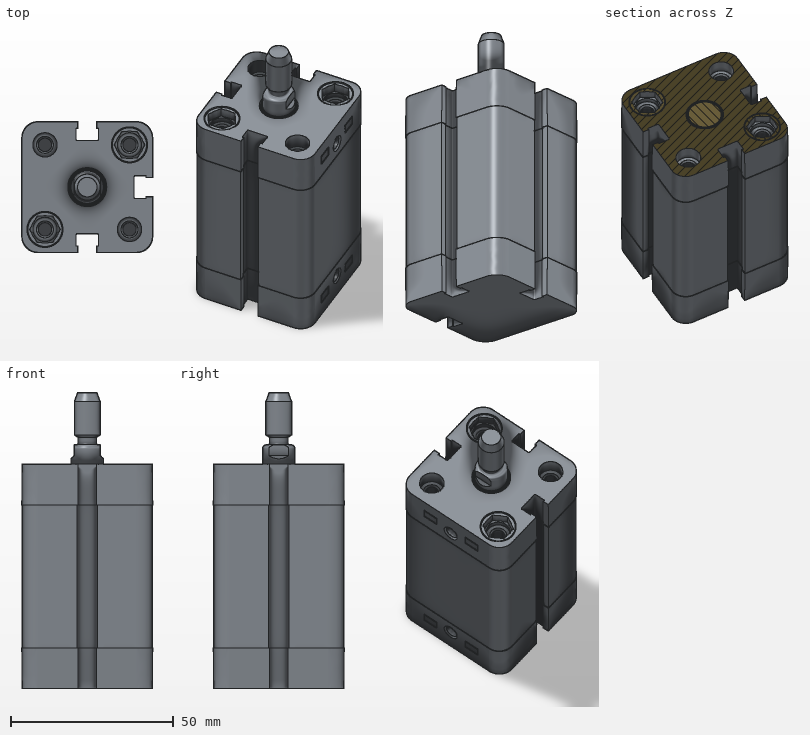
import cadquery as cq
import math

barrel_width = 40.0
cap_joint_width = 40.3
cap_draft = 0.5
corner_radius = 5.0
body_height = 69.0
cap_height = 12.5
total_height = 91.0

barrel_height = body_height - 2 * cap_height
head_cap_base = body_height - cap_height

slot_floor = 14.4
slot_lip = 18.05
slot_mouth_width = 5.8
slot_inner_width = 6.9
slot_corner_radius = 0.3
barrel_slot_clearance = 0.2
slot_angles = (0, 90, 270)

corner_offset = 13.0
thread_hole_dia = 4.13
thread_chamfer_dia = 5.2
counterbore_dia = 7.5
counterbore_depth = 4.7
corner_thread_depth = 6.0
nut_seat_dia = 11.1
nut_seat_depth = 3.2
nut_dia = 10.9
nut_top_dia = 10.48
nut_recess = 0.25
nut_hex_width = 8.2
nut_bore_dia = 8.45

port_end_distance = 7.5
port_depth = 10.0
label_width = 4.9
label_height = 3.0
label_depth = 0.3
label_side_offset = 8.1
label_end_distance = 6.2

rod_dia = 10.0
rod_shoulder_z = 75.0
rod_shoulder_radius = 1.25
rod_neck_dia = 5.8
rod_neck_fillet = 0.3
rod_neck_top_z = 77.25
rod_thread_dia = 8.0
rod_thread_start_z = 78.0
rod_tip_dia = 6.0
rod_tip_start_z = 88.25
rod_flat_width = 8.0
rod_flat_base_z = 71.65

groove_mouth_dia = 12.0
groove_outer_dia = 11.4
groove_inner_dia = 10.9
groove_lip_dia = 10.48
groove_depth = 1.0


def rounded_square(width, radius):
    return cq.Sketch().rect(width, width).vertices().fillet(radius)


def slot_cutter(base_z, height, clearance):
    """T-slot open to +X, grown by the clearance on every side of its section."""
    outside = cap_joint_width
    mouth_width = slot_mouth_width + 2 * clearance
    inner_width = slot_inner_width + 2 * clearance
    floor = slot_floor - clearance
    mouth = cq.Workplane("XY").box(outside - floor, mouth_width, height, centered=(False, True, False))
    channel = cq.Workplane("XY").box(slot_lip - floor, inner_width, height, centered=(False, True, False))
    channel = channel.edges("|Z and <X").fillet(slot_corner_radius)
    return mouth.union(channel).translate((floor, 0, base_z))


def cut_slots(body, base_z, height, clearance):
    for angle in slot_angles:
        cutter = slot_cutter(base_z, height, clearance)
        body = body.cut(cutter.rotate((0, 0, 0), (0, 0, 1), angle))
    return body


def revolve_profile(points):
    """Solid of revolution about Z from (radius, z) points."""
    return cq.Workplane("XZ").polyline(points).close().revolve(360, (0, 0, 0), (0, 1, 0))


def chamfered_bore(bore_dia, mouth_dia, depth):
    """Blind bore going down from Z = 0 with a 45 degree chamfer at its mouth."""
    bore_radius = bore_dia / 2
    mouth_radius = mouth_dia / 2
    return revolve_profile([
        (0, 0),
        (mouth_radius, 0),
        (bore_radius, bore_radius - mouth_radius),
        (bore_radius, -depth),
        (0, -depth),
    ])


def cut_port_face(cap, port_z, label_z):
    """Threaded air port and two shallow label recesses on the -X face."""
    face_x = -cap_joint_width / 2
    port = chamfered_bore(thread_hole_dia, thread_chamfer_dia, port_depth)
    port = port.rotate((0, 0, 0), (0, 1, 0), -90).translate((face_x, 0, port_z))
    cap = cap.cut(port)
    for side in (-1, 1):
        recess = cq.Workplane("XY").box(label_depth, label_width, label_height, centered=(False, True, True))
        cap = cap.cut(recess.translate((face_x, side * label_side_offset, label_z)))
    return cap


def make_cap_blank():
    """Cap with its joint face at Z = 0 and its narrower outer face at Z = cap_height."""
    blank = cq.Workplane("XY").placeSketch(rounded_square(cap_joint_width, corner_radius))
    blank = blank.extrude(cap_height, taper=cap_draft)
    return cut_slots(blank, 0, cap_height, 0)


def make_barrel():
    barrel = cq.Workplane("XY").placeSketch(rounded_square(barrel_width, corner_radius))
    barrel = barrel.extrude(barrel_height).translate((0, 0, cap_height))
    return cut_slots(barrel, cap_height, barrel_height, barrel_slot_clearance)


def make_end_cap():
    cap = make_cap_blank().mirror("XY").translate((0, 0, cap_height))
    return cut_port_face(cap, port_end_distance, label_end_distance)


nut_places = [(-corner_offset, -corner_offset), (corner_offset, corner_offset)]
plain_hole_places = [(-corner_offset, corner_offset), (corner_offset, -corner_offset)]


def wiper_groove():
    """Annular groove going down from Z = 0, widened at its mouth on both sides."""
    mouth_radius = groove_mouth_dia / 2
    outer_radius = groove_outer_dia / 2
    inner_radius = groove_inner_dia / 2
    lip_radius = groove_lip_dia / 2
    return revolve_profile([
        (lip_radius, 0),
        (mouth_radius, 0),
        (outer_radius, outer_radius - mouth_radius),
        (outer_radius, -groove_depth),
        (inner_radius, -groove_depth),
        (inner_radius, lip_radius - inner_radius),
    ])


def make_head_cap():
    cap = make_cap_blank().translate((0, 0, head_cap_base))
    cap = cut_port_face(cap, body_height - port_end_distance, body_height - label_end_distance)

    rod_bore = cq.Workplane("XY").circle(rod_dia / 2).extrude(cap_height)
    cap = cap.cut(rod_bore.translate((0, 0, head_cap_base)))
    cap = cap.cut(wiper_groove().translate((0, 0, body_height)))

    counterbore = cq.Workplane("XY").circle(counterbore_dia / 2).extrude(-counterbore_depth)
    thread = chamfered_bore(thread_hole_dia, thread_chamfer_dia, corner_thread_depth)
    corner_hole = counterbore.union(thread.translate((0, 0, -counterbore_depth)))
    for x, y in plain_hole_places + nut_places:
        cap = cap.cut(corner_hole.translate((x, y, body_height)))

    nut_seat = cq.Workplane("XY").circle(nut_seat_dia / 2).extrude(-nut_seat_depth)
    for x, y in nut_places:
        cap = cap.cut(nut_seat.translate((x, y, body_height)))
    return cap


def make_ring_nut(x, y):
    """Ring nut with a hexagonal opening, standing on the floor of its seat."""
    height = nut_seat_depth - nut_recess
    nut = cq.Workplane("XY").circle(nut_dia / 2).extrude(height)
    nut = nut.faces(">Z").chamfer((nut_dia - nut_top_dia) / 2)
    hex_corner_dia = nut_hex_width / math.cos(math.pi / 6)
    opening = cq.Workplane("XY").polygon(6, hex_corner_dia).extrude(height)
    bore = cq.Workplane("XY").circle(nut_bore_dia / 2).extrude(height)
    nut = nut.cut(opening.union(bore))
    return nut.translate((x, y, body_height - nut_seat_depth))


def make_rod():
    """Piston rod with rounded shoulder, undercut neck, stud end and two wrench flats."""
    rod_radius = rod_dia / 2
    neck_radius = rod_neck_dia / 2
    thread_radius = rod_thread_dia / 2
    half_diagonal = math.sqrt(0.5)
    shoulder_mid = (
        rod_radius - rod_shoulder_radius * (1 - half_diagonal),
        rod_shoulder_z - rod_shoulder_radius * (1 - half_diagonal),
    )
    neck_mid = (
        neck_radius + rod_neck_fillet * (1 - half_diagonal),
        rod_shoulder_z + rod_neck_fillet * (1 - half_diagonal),
    )
    rod = (
        cq.Workplane("XZ")
        .moveTo(0, head_cap_base)
        .lineTo(rod_radius, head_cap_base)
        .lineTo(rod_radius, rod_shoulder_z - rod_shoulder_radius)
        .threePointArc(shoulder_mid, (rod_radius - rod_shoulder_radius, rod_shoulder_z))
        .lineTo(neck_radius + rod_neck_fillet, rod_shoulder_z)
        .threePointArc(neck_mid, (neck_radius, rod_shoulder_z + rod_neck_fillet))
        .lineTo(neck_radius, rod_neck_top_z)
        .lineTo(thread_radius, rod_thread_start_z)
        .lineTo(thread_radius, rod_tip_start_z)
        .lineTo(rod_tip_dia / 2, total_height)
        .lineTo(0, total_height)
        .close()
        .revolve(360, (0, 0, 0), (0, 1, 0))
    )

    flat_x = rod_flat_width / 2
    runout = rod_radius - flat_x
    flat_section = [
        (flat_x, rod_shoulder_z),
        (flat_x, rod_flat_base_z),
        (flat_x + runout, rod_flat_base_z - runout),
        (flat_x + runout, rod_shoulder_z),
    ]
    flat_cutter = cq.Workplane("XZ").polyline(flat_section).close().extrude(rod_radius, both=True)
    for angle in (0, 180):
        rod = rod.cut(flat_cutter.rotate((0, 0, 0), (0, 0, 1), angle))
    return rod


barrel = make_barrel()
end_cap = make_end_cap()
head_cap = make_head_cap()
rod = make_rod()
ring_nuts = [make_ring_nut(x, y) for x, y in nut_places]

result = cq.Compound.makeCompound([
    barrel.val(),
    end_cap.val(),
    head_cap.val(),
    rod.val(),
    *[nut.val() for nut in ring_nuts],
])